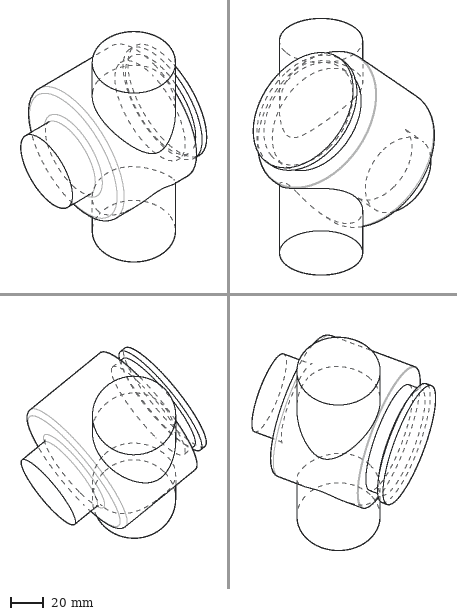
import cadquery as cq
import math

total_depth = 94.0
pipe_length = 153.2
pipe_radius = 25.5
pipe_offset_x = 17.2
pipe_offset_y = 54.4

body_diameter = 92.0
body_radius = body_diameter / 2
body_front = 20.8
body_back = 80.5
body_front_fillet = 3.0
body_back_fillet = 0.5

stub_root_fillet = 3.0

neck_radius = 34.5
flange_radius = 38.7
flange_rim_width = 3.7
flange_bevel_width = 1.5


def cylinder_along_y(radius, start, end):
    """Solid cylinder on the Y axis between two Y positions."""
    base = cq.Workplane("XZ", origin=(0, start, 0))
    return base.circle(radius).extrude(start - end)


def make_body():
    """Round housing with a rounded front edge and a slightly eased back edge."""
    body = cylinder_along_y(body_radius, body_front, body_back)
    body = body.faces("<Y").edges().fillet(body_front_fillet)
    return body.faces(">Y").edges().fillet(body_back_fillet)


def make_stub():
    """Front pipe stub that flares into the body through a concave root fillet."""
    r = stub_root_fillet
    root_start = body_front - r
    arc_middle = r * (1 - math.sqrt(0.5))
    profile = (
        cq.Workplane("XY")
        .moveTo(0, 0)
        .lineTo(pipe_radius, 0)
        .lineTo(pipe_radius, root_start)
        .threePointArc(
            (pipe_radius + arc_middle, body_front - arc_middle),
            (pipe_radius + r, body_front),
        )
        .lineTo(pipe_radius, body_front + r)
        .lineTo(0, body_front + r)
        .close()
    )
    return profile.revolve(360, (0, 0, 0), (0, 1, 0))


def make_flange():
    """Back neck with a clamp flange bevelled on its front side."""
    rim_front = total_depth - flange_rim_width
    profile = (
        cq.Workplane("XY")
        .moveTo(0, body_back - body_back_fillet)
        .lineTo(neck_radius, body_back - body_back_fillet)
        .lineTo(neck_radius, rim_front - flange_bevel_width)
        .lineTo(flange_radius, rim_front)
        .lineTo(flange_radius, total_depth)
        .lineTo(0, total_depth)
        .close()
    )
    return profile.revolve(360, (0, 0, 0), (0, 1, 0))


def make_through_pipe():
    """Vertical pipe crossing the body off centre."""
    base = cq.Workplane("XY", origin=(pipe_offset_x, pipe_offset_y, -pipe_length / 2))
    return base.circle(pipe_radius).extrude(pipe_length)


result = make_body().union(make_stub()).union(make_flange()).union(make_through_pipe())